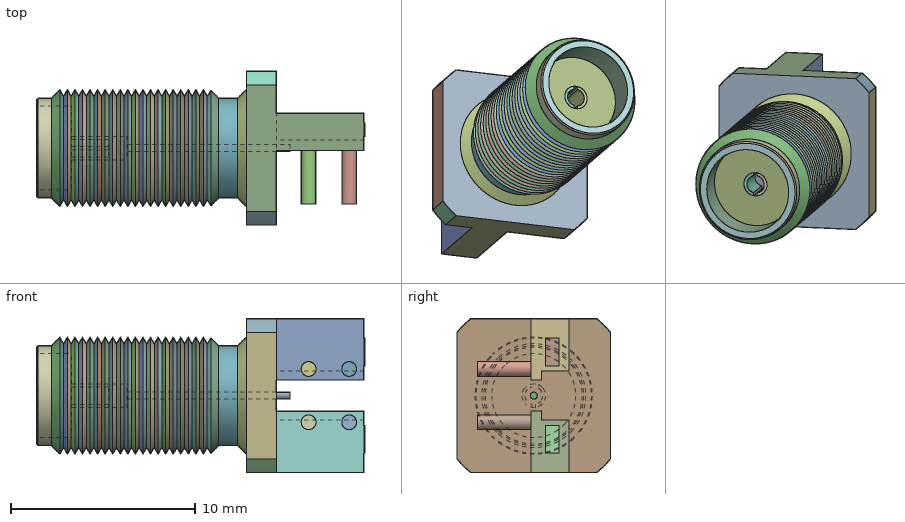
import cadquery as cq
import math


sleeve_radius = 2.71
mouth_chamfer = 0.08
collar_length = 0.79
crest_radius = 3.175
thread_pitch = 0.41
ridge_count = 21
thread_half_angle = math.radians(30)
thread_depth = thread_pitch / 2 / math.tan(thread_half_angle)
root_radius = crest_radius - thread_depth
first_crest_x = collar_length + crest_radius - sleeve_radius
last_crest_x = first_crest_x + (ridge_count - 1) * thread_pitch
last_crest_radius = 3.13
neck_start_x = last_crest_x + last_crest_radius - sleeve_radius

flange_x = 11.37
flange_thickness = 1.63
flange_size = 8.35
flange_corner_radius = 5.4
flange_cone = 0.47
flange_back_x = flange_x + flange_thickness

bore_radius = 2.28
bore_depth = 1.9

pad_thickness = 0.05
overall_length = 17.8
arm_length = overall_length - pad_thickness - flange_back_x
arm_gap = 1.67
arm_height = (flange_size - arm_gap) / 2
arm_front_y = -0.14
arm_back_y = 1.9
arm_end_x = flange_back_x + arm_length
relief_front_y = 0.43
relief_gap = 2.67

pad_width = 0.72
pad_height = 1.5
pad_y = 1.0
pad_z = 2.37

leg_radius = 0.4
leg_length = 2.9
leg_first_x = 14.75
leg_spacing_x = 2.2
leg_z = 1.445

socket_radius = 0.64
socket_hole_radius = 0.48
socket_slot_width = 0.2
socket_length = 3.0
socket_hole_depth = 2.0
tail_radius = 0.19
tail_overhang = 0.75
socket_end_x = bore_depth + socket_length
tail_end_x = flange_back_x + tail_overhang


def rod(start_x, end_x, radius):
    """Cylinder on the X axis."""
    return cq.Workplane("YZ", origin=(start_x, 0, 0)).circle(radius).extrude(end_x - start_x)


def contact_envelope():
    """Outer shape of the contact, also the shape of the hole it sits in."""
    socket = rod(bore_depth, socket_end_x, socket_radius)
    tail = rod(socket_end_x, tail_end_x, tail_radius)
    return socket.union(tail)


def make_sleeve():
    """Collar, thread ridges, neck and flange cone revolved about X."""
    profile = [
        (0, 0),
        (0, sleeve_radius - mouth_chamfer),
        (mouth_chamfer, sleeve_radius),
        (collar_length, sleeve_radius),
    ]
    for ridge in range(ridge_count - 1):
        crest_x = first_crest_x + ridge * thread_pitch
        profile.append((crest_x, crest_radius))
        profile.append((crest_x + thread_pitch / 2, root_radius))
    profile += [
        (last_crest_x, last_crest_radius),
        (neck_start_x, sleeve_radius),
        (flange_x - flange_cone, sleeve_radius),
        (flange_x, sleeve_radius + flange_cone),
        (flange_x, 0),
    ]
    return cq.Workplane("XY").polyline(profile).close().revolve(360, (0, 0, 0), (1, 0, 0))


def make_flange():
    square = cq.Workplane("YZ", origin=(flange_x, 0, 0)).rect(flange_size, flange_size)
    return square.extrude(flange_thickness).intersect(rod(flange_x, flange_back_x, flange_corner_radius))


def make_arm(side):
    """One arm with its relief step, end pad and two legs; side is +1 above the axis, -1 below."""
    arm = cq.Workplane("XY").box(arm_length, arm_back_y - arm_front_y, arm_height).translate((
        flange_back_x + arm_length / 2,
        (arm_front_y + arm_back_y) / 2,
        side * (arm_gap + arm_height) / 2,
    ))
    relief = cq.Workplane("XY").box(arm_length, arm_back_y - relief_front_y, relief_gap)
    relief = relief.translate((flange_back_x + arm_length / 2, (relief_front_y + arm_back_y) / 2, 0))
    arm = arm.cut(relief)
    pad = cq.Workplane("YZ", origin=(arm_end_x, pad_y, side * pad_z)).rect(pad_width, pad_height)
    arm = arm.union(pad.extrude(pad_thickness))
    for leg in range(2):
        leg_x = leg_first_x + leg * leg_spacing_x
        foot = cq.Workplane("XZ", origin=(leg_x, arm_front_y, side * leg_z)).circle(leg_radius)
        arm = arm.union(foot.extrude(leg_length))
    return arm


def make_housing():
    housing = make_sleeve().union(make_flange())
    for side in (1, -1):
        housing = housing.union(make_arm(side))
    return housing.cut(rod(0, bore_depth, bore_radius)).cut(contact_envelope())


def make_contact():
    hole_end_x = bore_depth + socket_hole_depth
    slot = cq.Workplane("XY").box(socket_hole_depth, socket_slot_width, 2 * socket_radius)
    slot = slot.translate((bore_depth + socket_hole_depth / 2, 0, 0))
    return contact_envelope().cut(rod(bore_depth, hole_end_x, socket_hole_radius)).cut(slot)


housing = make_housing()
contact = make_contact()

result = cq.Compound.makeCompound([housing.val(), contact.val()])